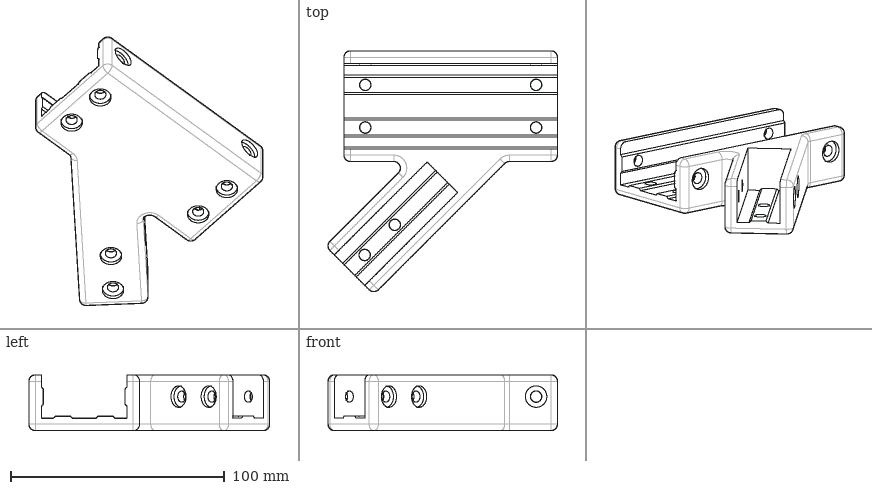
import cadquery as cq
import math

overall_width = 107.5
overall_length = 112.8
height = 26.2

cell = 20.0
clearance = 0.1

wall = 6.0
edge_radius = 3.0

body_width = 100.0
channel_width = 2 * cell
body_depth = channel_width + 2 * wall

arm_angle = 45.0
pocket_width = cell + 2 * clearance
arm_half_width = pocket_width / 2 + wall
pocket_length = 61.5

rib_base = 9.0
rib_top = 7.0
rib_height = 0.9

bolt_diameter = 5.2
counterbore_diameter = 10.0
counterbore_depth = 2.0
end_margin = 10.0
floor = 5.9
bolt_height = wall + cell / 2

body_left = 0.0
body_right = body_left + body_width
left_reach = overall_width - body_width
front_reach = overall_length - body_depth
channel_center = body_depth / 2

angle = math.radians(arm_angle)
along_x = math.cos(angle)
along_y = math.sin(angle)

corner_inset = arm_half_width - edge_radius
mouth_x = -left_reach + edge_radius - edge_radius * along_x + corner_inset * along_y
mouth_y = -front_reach + edge_radius - edge_radius * along_y + corner_inset * along_x


def arm_point(distance, offset):
    """Point at a distance inward from the arm mouth, offset to the left of the arm axis."""
    x = mouth_x + distance * along_x - offset * along_y
    y = mouth_y + distance * along_y + offset * along_x
    return (x, y)


def arm_meets_front(offset):
    """Point where a line parallel to the arm axis reaches the front face of the body."""
    mouth = arm_point(0, offset)
    return arm_point(-mouth[1] / along_y, offset)


def rounded_block():
    outline = [
        (body_left, 0),
        arm_meets_front(arm_half_width),
        arm_point(0, arm_half_width),
        arm_point(0, -arm_half_width),
        arm_meets_front(-arm_half_width),
        (body_right, 0),
        (body_right, body_depth),
        (body_left, body_depth),
    ]
    block = cq.Workplane("XY").polyline(outline).close().extrude(height)
    block = block.edges("|Z").fillet(edge_radius)
    return block.faces("<Z or >Z").edges().fillet(edge_radius)


def rib(length):
    """Trapezoidal rib along +X, standing on the XY plane and centered on Y = 0."""
    section = [
        (-rib_base / 2, 0),
        (-rib_top / 2, rib_height),
        (rib_top / 2, rib_height),
        (rib_base / 2, 0),
    ]
    return cq.Workplane("YZ").polyline(section).close().extrude(length)


def channel_space():
    """Space of the two-cell profile: a box less two floor ribs and one rib on each side."""
    space = cq.Workplane("XY").box(body_width, channel_width, height, centered=(False, True, False))
    for side in (-1, 1):
        floor_rib = rib(body_width).translate((0, side * cell / 2, 0))
        wall_rib = rib(body_width).rotate((0, 0, 0), (1, 0, 0), side * 90)
        wall_rib = wall_rib.translate((0, side * channel_width / 2, bolt_height - floor))
        space = space.cut(floor_rib).cut(wall_rib)
    return space.translate((body_left, channel_center, floor))


def pocket_space():
    """Space of the one-cell profile: a box less one floor rib, turned along the arm."""
    space = cq.Workplane("XY").box(pocket_length, pocket_width, height, centered=(False, True, False))
    space = space.cut(rib(pocket_length))
    return space.rotate((0, 0, 0), (0, 0, 1), arm_angle).translate((mouth_x, mouth_y, floor))


def bolt_hole(x, y, z, direction):
    """Counterbored hole entering an outer face at (x, y, z) and ending inside the profile space."""
    face = cq.Plane(origin=(x, y, z), normal=direction)
    shank = cq.Workplane(face).circle(bolt_diameter / 2).extrude(wall + 2 * rib_height)
    head = cq.Workplane(face).circle(counterbore_diameter / 2).extrude(counterbore_depth)
    return shank.union(head)


def body_bolts():
    holes = []
    for x in (body_left + end_margin, body_right - end_margin):
        holes.append(bolt_hole(x, 0, bolt_height, (0, 1, 0)))
        holes.append(bolt_hole(x, body_depth, bolt_height, (0, -1, 0)))
        for side in (-1, 1):
            holes.append(bolt_hole(x, channel_center + side * cell / 2, 0, (0, 0, 1)))
    return holes


def arm_bolts():
    holes = []
    for distance in (end_margin, end_margin + cell):
        holes.append(bolt_hole(*arm_point(distance, 0), 0, (0, 0, 1)))
        for side in (-1, 1):
            x, y = arm_point(distance, side * arm_half_width)
            inward = (side * along_y, -side * along_x, 0)
            holes.append(bolt_hole(x, y, bolt_height, inward))
    return holes


result = rounded_block().cut(channel_space()).cut(pocket_space())
for hole in body_bolts() + arm_bolts():
    result = result.cut(hole)